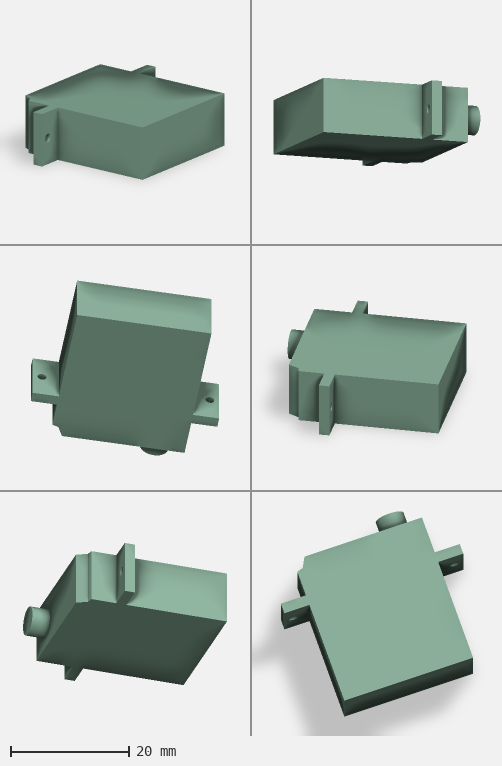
import cadquery as cq

overall_x = 29.35
overall_y = 32.0
thickness = 9.3

body_x = 26.25
body_y = 23.05

shaft_diameter = 5.0
shaft_length = overall_x - body_x
shaft_from_edge = 4.7

tab_offset = 6.53
tab_thickness = 1.82
hole_diameter = 1.5
hole_from_tip = 1.6

corner_cut_y = 2.0
corner_cut_x = 2.1
corner_knee_x = 1.82
corner_knee_y = 1.05


def make_body():
    """Case with its -X face on X = 0, centred on Y and Z."""
    side = body_y / 2
    return (
        cq.Workplane("XY")
        .workplane(offset=-thickness / 2)
        .moveTo(0, side)
        .lineTo(0, -side + corner_cut_y)
        .lineTo(corner_knee_x, -side + corner_knee_y)
        .lineTo(corner_cut_x, -side)
        .lineTo(body_x, -side)
        .lineTo(body_x, side)
        .close()
        .extrude(thickness)
    )


def make_tabs():
    """One drilled plate through the case, showing as a tab on each side."""
    hole_y = overall_y / 2 - hole_from_tip
    return (
        cq.Workplane("YZ")
        .workplane(offset=tab_offset)
        .rect(overall_y, thickness)
        .pushPoints([(-hole_y, 0), (hole_y, 0)])
        .circle(hole_diameter / 2)
        .extrude(tab_thickness)
    )


def make_shaft():
    """Round shaft standing out of the -X face."""
    return (
        cq.Workplane("YZ")
        .center(body_y / 2 - shaft_from_edge, 0)
        .circle(shaft_diameter / 2)
        .extrude(-shaft_length)
    )


result = make_body().union(make_tabs()).union(make_shaft())